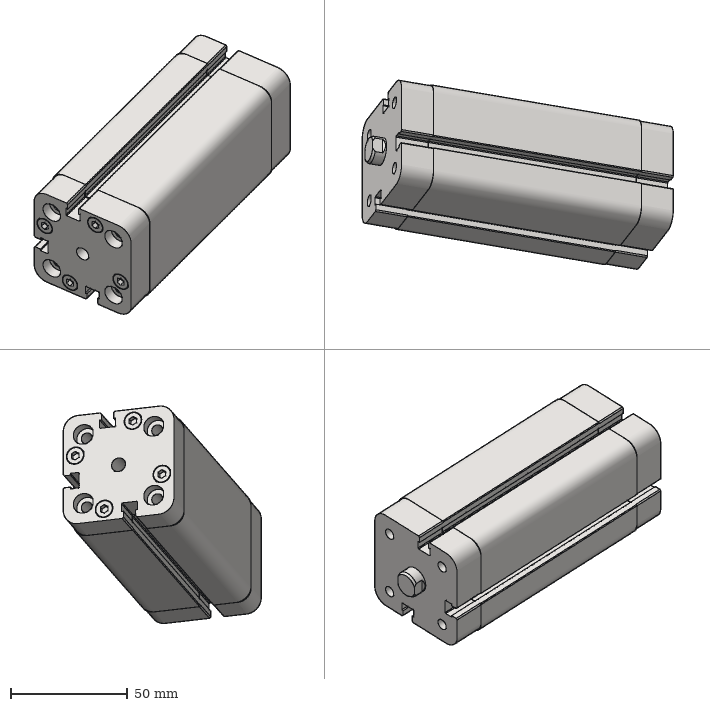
import cadquery as cq
overall_length = 130.5
cap_width = 50.0
tube_width = 50.1
rod_projection = 6.0
housing_length = overall_length - rod_projection
cap_length = 14.6
tube_length = housing_length - 2 * cap_length

cap_corner_size = 6.3
cap_corner_radius = 6.8
tube_corner_radius = 6.0

slot_offset = 5.0
slot_opening = 5.5
slot_lip = 3.3
cap_slot_depth = 7.2
cap_slot_inner_width = 7.2
cap_slot_chamfer = 0.59
tube_slot_inner_width = 6.7
tube_slot_depth = 6.7
tube_slot_chamfer = 0.4
slot_floor_chamfer = 0.4
slot_side_angles = (0, -90, 180)

mount_spacing = 31.8
mount_hole_diameter = 5.0
mount_bore_diameter = 9.0
mount_bore_depth = 5.0

port_diameter = 6.3
port_depth = 12.0

screw_near = 6.5
screw_far = 19.6
screw_centres = (
    (screw_near, screw_far),
    (screw_far, -screw_near),
    (-screw_near, -screw_far),
    (-screw_far, screw_near),
)
screw_bore_diameter = 8.0
screw_head_diameter = 7.5
screw_bore_depth = 5.0
hex_width = 3.4
hex_depth = 2.5

rod_diameter = 12.0
rod_flat_width = 10.0
rod_flat_length = 4.6
rod_end_chamfer_length = 1.2
rod_end_chamfer_width = 0.7


def front_plane(y):
    """Plane at the given Y whose local axes are X and Z and whose normal is -Y."""
    return cq.Workplane("XZ", origin=(0, y, 0))


def turned(shape, angle):
    """Turn a shape about the Y axis; +90 takes the top side to the right side."""
    return shape.rotate((0, 0, 0), (0, 1, 0), angle)


def slot_cutter(width, length, inner_width, depth, chamfer):
    """T-slot cut from the top side, with bevelled mouth and floor edges."""
    top = width / 2
    half_opening = slot_opening / 2
    half_inner = inner_width / 2
    right_half = [
        (half_opening + chamfer, top),
        (half_opening, top - chamfer),
        (half_opening, top - slot_lip),
        (half_inner, top - slot_lip),
        (half_inner, top - depth + slot_floor_chamfer),
        (half_inner - slot_floor_chamfer, top - depth),
    ]
    left_half = [(-x, z) for x, z in reversed(right_half)]
    outline = [(x - slot_offset, z) for x, z in right_half + left_half]
    return front_plane(0).polyline(outline).close().extrude(-length)


def housing_section(start, width, length, corner_size, corner_radius, slot):
    """One slotted length of the square housing, with an arc across each corner."""
    half = width / 2
    inner = half - corner_size
    section = (
        front_plane(0)
        .moveTo(-inner, half)
        .lineTo(inner, half)
        .radiusArc((half, inner), corner_radius)
        .lineTo(half, -inner)
        .radiusArc((inner, -half), corner_radius)
        .lineTo(-inner, -half)
        .radiusArc((-half, -inner), corner_radius)
        .lineTo(-half, inner)
        .radiusArc((-inner, half), corner_radius)
        .close()
        .extrude(-length)
    )
    for angle in slot_side_angles:
        section = section.cut(turned(slot, angle))
    return section.translate((0, start, 0))


def mounting_holes():
    """Four through holes with a wider bore at the front face."""
    holes = front_plane(0).rect(mount_spacing, mount_spacing, forConstruction=True).vertices()
    through = holes.circle(mount_hole_diameter / 2).extrude(-housing_length)
    bores = holes.circle(mount_bore_diameter / 2).extrude(-mount_bore_depth)
    return through.union(bores)


def screw_recess(x, z):
    """Narrow ring around a flush screw head, plus its hexagon socket with corners up and down."""
    centre = front_plane(0).center(x, z)
    ring = centre.circle(screw_bore_diameter / 2).circle(screw_head_diameter / 2).extrude(-screw_bore_depth)
    socket = centre.polygon(6, hex_width, circumscribed=True).extrude(-hex_depth)
    return ring.union(socket)


def piston_rod():
    """Rod end with two flats that run out at 45 degrees towards the housing."""
    rod = front_plane(housing_length).circle(rod_diameter / 2).extrude(-rod_projection)
    rod = rod.faces(">Y").chamfer(rod_end_chamfer_length, rod_end_chamfer_width)
    half_flat = rod_flat_width / 2
    flat_start = overall_length - rod_flat_length
    run_out = rod_diameter / 2 - half_flat
    cutter = (
        cq.Workplane("XY")
        .polyline([
            (half_flat, overall_length),
            (half_flat, flat_start),
            (half_flat + run_out, flat_start - run_out),
            (half_flat + run_out, overall_length),
        ])
        .close()
        .extrude(rod_diameter / 2, both=True)
    )
    return rod.cut(cutter).cut(cutter.mirror("YZ"))


cap_slot = slot_cutter(cap_width, cap_length, cap_slot_inner_width, cap_slot_depth, cap_slot_chamfer)
tube_slot = slot_cutter(tube_width, tube_length, tube_slot_inner_width, tube_slot_depth, tube_slot_chamfer)

front_cap = housing_section(0, cap_width, cap_length, cap_corner_size, cap_corner_radius, cap_slot)
tube = housing_section(cap_length, tube_width, tube_length, tube_corner_radius, tube_corner_radius, tube_slot)
rear_cap = front_cap.translate((0, housing_length - cap_length, 0))

result = front_cap.union(tube).union(rear_cap).union(piston_rod())
result = result.cut(mounting_holes())
result = result.cut(front_plane(0).circle(port_diameter / 2).extrude(-port_depth))
for x, z in screw_centres:
    result = result.cut(screw_recess(x, z))